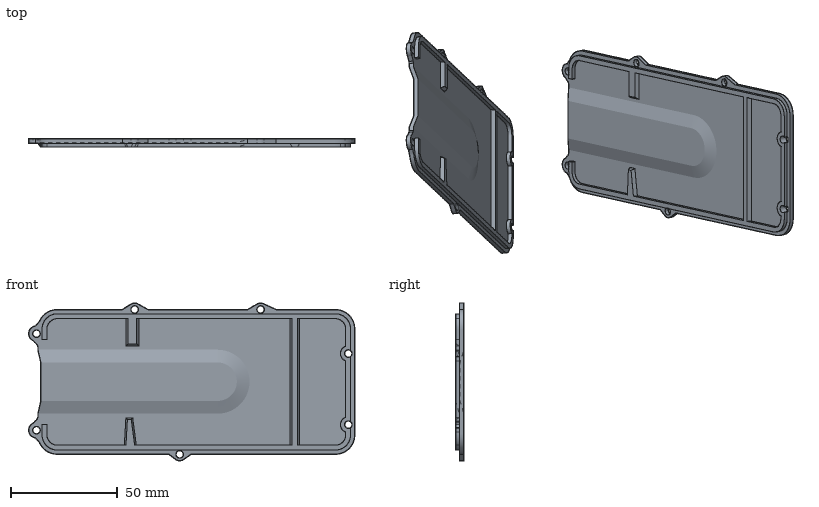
import cadquery as cq
import math

LENGTH = 152.7
PLATE_LEFT = 4.3
PLATE_HALF_HEIGHT = 33.9
PLATE_CORNER = 9.2
PLATE_THICKNESS = 2.1
RELIEF = 1.8
TOTAL_DEPTH = PLATE_THICKNESS + RELIEF

WALL_INSET = 2.0
WALL_THICKNESS = 2.3
WALL_END_Z = 19.9
WALL_INNER_Z = PLATE_HALF_HEIGHT - WALL_INSET - WALL_THICKNESS
RIB_OVERLAP = 1.2

HOLE_DIAMETER = 3.4
EDGE_LUG_RADIUS = 3.0
END_LUG_RADIUS = 3.7
END_LUG_Z = 22.6
END_LUG_OUTLINE = [
    (7.6, 28.7),
    (5.3, 28.7),
    (3.2, 26.3),
    (2.0, 19.4),
    (4.0, 17.4),
    (4.5, 16.0),
    (7.6, 16.0),
]
EDGE_LUGS = [(1, 49.6, 43.8, 55.9), (1, 108.6, 102.5, 116.0), (-1, 70.7, 65.7, 76.0)]
BOSS_RADIUS = 3.7
BOSS_CENTERS = [(149.7, 13.3), (149.7, -20.0)]

CHANNEL_END_X = 88.6
CHANNEL_OUTER = 15.0
CHANNEL_INNER = 9.0
MOUTH_INNER_X = 5.7

LONG_RIB_LEFT = 122.3
LONG_RIB_RIGHT = 127.0
SHORT_RIB_LEFT = 45.5
SHORT_RIB_RIGHT = 51.6
TAPERED_RIB_ROOT_LEFT = 44.8
TAPERED_RIB_ROOT_RIGHT = 50.5
TAPERED_RIB_TIP_LEFT = 45.5
TAPERED_RIB_TIP_RIGHT = 48.7
RIB_TIP_Z = 16.8
RIB_DRAFT = 1.0
TAPERED_RIB_DRAFT = 0.8


def section(depth):
    """Sketch plane at a distance in front of the back face, extruding towards -Y."""
    return cq.Workplane("XZ", origin=(0, -depth, 0))


def rounded_panel(inset, start, height):
    """Plate outline moved inwards by an inset and extruded."""
    width = LENGTH - PLATE_LEFT - 2 * inset
    return (
        section(start)
        .center((LENGTH + PLATE_LEFT) / 2, 0)
        .rect(width, 2 * (PLATE_HALF_HEIGHT - inset))
        .extrude(height)
        .edges("|Y")
        .fillet(PLATE_CORNER - inset)
    )


def disc(center, radius, start, height):
    return section(start).center(*center).circle(radius).extrude(height)


def edge_lug(side, hole_x, left_x, right_x):
    """Round lug whose flanks run tangentially to the plate edge."""
    left_angle = math.acos(EDGE_LUG_RADIUS / (hole_x - left_x))
    right_angle = math.acos(EDGE_LUG_RADIUS / (right_x - hole_x))
    edge_z = side * PLATE_HALF_HEIGHT
    left_tangent = (
        hole_x - EDGE_LUG_RADIUS * math.cos(left_angle),
        edge_z + side * EDGE_LUG_RADIUS * math.sin(left_angle),
    )
    right_tangent = (
        hole_x + EDGE_LUG_RADIUS * math.cos(right_angle),
        edge_z + side * EDGE_LUG_RADIUS * math.sin(right_angle),
    )
    inner_z = edge_z - side * WALL_INSET
    outline = [(left_x, inner_z), (left_x, edge_z), left_tangent, right_tangent,
               (right_x, edge_z), (right_x, inner_z)]
    web = section(0).polyline(outline).close().extrude(PLATE_THICKNESS)
    return web.union(disc((hole_x, edge_z), EDGE_LUG_RADIUS, 0, PLATE_THICKNESS))


def end_lug(side):
    """Round lug on the left end with straight flanks to the plate."""
    outline = [(x, side * z) for x, z in END_LUG_OUTLINE]
    web = section(0).polyline(outline).close().extrude(PLATE_THICKNESS)
    return web.union(disc((END_LUG_RADIUS, side * END_LUG_Z), END_LUG_RADIUS, 0, PLATE_THICKNESS))


def channel_form(start):
    """Straight channel with sloped sides and a conical right end, from a base depth."""
    profile = [
        (-start, -CHANNEL_OUTER),
        (-start, CHANNEL_OUTER),
        (-start - RELIEF, CHANNEL_INNER),
        (-start - RELIEF, -CHANNEL_INNER),
    ]
    straight = (
        cq.Workplane("YZ")
        .polyline(profile)
        .close()
        .extrude(CHANNEL_END_X)
    )
    cone = cq.Workplane(
        cq.Solid.makeCone(
            CHANNEL_OUTER,
            CHANNEL_INNER,
            RELIEF,
            cq.Vector(CHANNEL_END_X, -start, 0),
            cq.Vector(0, -1, 0),
        )
    )
    return straight.union(cone)


def drafted_rib(outline, draft):
    """Rib with the given foot outline and sides leaning inwards."""
    angle = math.degrees(math.atan2(draft, RELIEF))
    return section(PLATE_THICKNESS).polyline(outline).close().extrude(RELIEF, taper=angle)


def rectangular_rib(left, right, bottom, top):
    return drafted_rib([(left, bottom), (right, bottom), (right, top), (left, top)], RIB_DRAFT)


body = rounded_panel(0, 0, PLATE_THICKNESS)
for lug in EDGE_LUGS:
    body = body.union(edge_lug(*lug))
for lug_side in (1, -1):
    body = body.union(end_lug(lug_side))

wall_envelope = rounded_panel(WALL_INSET, PLATE_THICKNESS, RELIEF)
wall = wall_envelope.cut(
    rounded_panel(WALL_INSET + WALL_THICKNESS, PLATE_THICKNESS, RELIEF)
)
wall_opening = cq.Workplane("XY").box(LENGTH / 2, 4 * TOTAL_DEPTH, 2 * WALL_END_Z)
wall = wall.cut(wall_opening)
body = body.union(wall)

for boss_center in BOSS_CENTERS:
    boss = disc(boss_center, BOSS_RADIUS, PLATE_THICKNESS, RELIEF)
    body = body.union(boss.intersect(wall_envelope))

rib_end_z = WALL_INNER_Z + RIB_OVERLAP
body = body.union(rectangular_rib(LONG_RIB_LEFT, LONG_RIB_RIGHT, -rib_end_z, rib_end_z))
body = body.union(rectangular_rib(SHORT_RIB_LEFT, SHORT_RIB_RIGHT, RIB_TIP_Z, rib_end_z))
tapered_outline = [
    (TAPERED_RIB_ROOT_LEFT, -rib_end_z),
    (TAPERED_RIB_ROOT_RIGHT, -rib_end_z),
    (TAPERED_RIB_TIP_RIGHT, -RIB_TIP_Z),
    (TAPERED_RIB_TIP_LEFT, -RIB_TIP_Z),
]
body = body.union(drafted_rib(tapered_outline, TAPERED_RIB_DRAFT))

body = body.union(channel_form(PLATE_THICKNESS)).cut(channel_form(0))
mouth = [
    (0, CHANNEL_OUTER),
    (PLATE_LEFT, CHANNEL_OUTER),
    (MOUTH_INNER_X, CHANNEL_INNER),
    (MOUTH_INNER_X, -CHANNEL_INNER),
    (PLATE_LEFT, -CHANNEL_OUTER),
    (0, -CHANNEL_OUTER),
]
body = body.cut(section(0).polyline(mouth).close().extrude(TOTAL_DEPTH))

hole_centers = [(hole_x, side * PLATE_HALF_HEIGHT) for side, hole_x, _, _ in EDGE_LUGS]
hole_centers += [(END_LUG_RADIUS, side * END_LUG_Z) for side in (1, -1)]
hole_centers += BOSS_CENTERS
holes = section(0).pushPoints(hole_centers).circle(HOLE_DIAMETER / 2).extrude(TOTAL_DEPTH)

result = body.cut(holes)